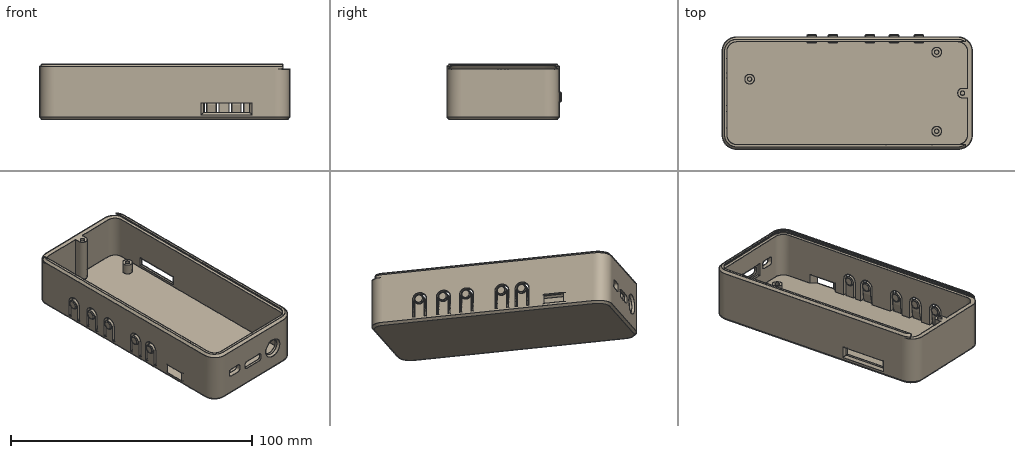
import cadquery as cq
import math

LENGTH = 103.79
WIDTH = 46.63
HEIGHT = 23.0
CORNER_RADIUS = 6.0
WALL = 2.0
FLOOR = 2.0
EDGE_CHAMFER = 1.0

LID_THICKNESS = 2.0
TRACK_UNDERCUT = 1.4
LIP_END_SETBACK = 2.75

POST_RADIUS = 2.0
PILOT_RADIUS = 0.9
SHORT_POST_HEIGHT = 4.5
SHORT_POST_PLACES = [(37.1, 17.0), (-40.5, 5.8), (37.1, -15.8)]
TALL_POST_INSET = 4.1
PILOT_DEPTH = 4.0

BUTTON_XS = [-14.7, -5.95, 9.4, 19.4, 29.7]
STIFF_BUTTON_XS = BUTTON_XS[:1]
BUTTON_Z = 9.4
BUTTON_RADIUS = 2.0
BUTTON_GAP = 1.0
BUTTON_PROTRUSION = 1.0
BUTTON_EDGE = 0.4
TONGUE_RECESS = 0.2
RELIEF_TOP_Z = 6.0
RELIEF_DEPTH = 0.8
NUB_REACH = 0.6

WINDOW_X = 25.65
WINDOW_LENGTH = 21.1
WINDOW_SILL_Z = 2.0
WINDOW_TOP_Z = 6.9
WINDOW_FLARE = 1.0

SWITCH_Y, SWITCH_Z, SWITCH_SIZE, SWITCH_RADIUS = 11.45, 11.0, (6.0, 3.5), 1.0
PORT_Y, PORT_Z, PORT_SIZE, PORT_RADIUS = 0.6, 10.1, (9.5, 3.5), 1.2
JACK_Y, JACK_Z, JACK_RADIUS, JACK_MOUTH_RADIUS = -11.1, 10.7, 3.4, 4.15
JACK_FLARE_DEPTH = 1.0
PORT_RELIEF_MARGIN = 1.0
PORT_RELIEF_DEPTH = 1.0

WHEEL_X = -28.5
WHEEL_RADIUS = 8.4
WHEEL_INSET = 7.3
WHEEL_HEIGHT = 4.0

TRACK_Z = HEIGHT - LID_THICKNESS
INNER_Y = WIDTH / 2 - WALL
TALL_POST_X = LENGTH / 2 - TALL_POST_INSET


def rounded_block(length, width, height, radius):
    return cq.Workplane("XY").rect(length, width).extrude(height).edges("|Z").fillet(radius)


def make_shell():
    block = rounded_block(LENGTH, WIDTH, HEIGHT, CORNER_RADIUS)
    block = block.faces("<Z or >Z").chamfer(EDGE_CHAMFER)
    cavity = rounded_block(LENGTH - 2 * WALL, WIDTH - 2 * WALL, HEIGHT, CORNER_RADIUS - WALL)
    return block.cut(cavity.translate((0, 0, FLOOR)))


def make_lid_track():
    """Lid void under 45 degree lips, which also removes the rim of the +X end."""
    base_width = WIDTH - 2 * (WALL - TRACK_UNDERCUT)
    base_start = -LENGTH / 2 + WALL - TRACK_UNDERCUT
    track = (
        cq.Workplane("XY", origin=(base_start + LENGTH / 2, 0, TRACK_Z))
        .sketch()
        .rect(LENGTH, base_width)
        .vertices("<X")
        .fillet(CORNER_RADIUS - WALL + TRACK_UNDERCUT)
        .finalize()
        .extrude(TRACK_UNDERCUT, taper=45)
    )
    track = track.union(track.faces(">Z").wires().toPending().extrude(LID_THICKNESS - TRACK_UNDERCUT))
    end_cut = cq.Workplane("XY").box(LIP_END_SETBACK, WIDTH, LID_THICKNESS, centered=(False, True, False))
    return track.union(end_cut.translate((LENGTH / 2 - LIP_END_SETBACK, 0, TRACK_Z)))


def add_posts(body):
    short_top = FLOOR + SHORT_POST_HEIGHT
    floor_plane = cq.Workplane("XY").workplane(offset=FLOOR)
    posts = floor_plane.pushPoints(SHORT_POST_PLACES).circle(POST_RADIUS).extrude(SHORT_POST_HEIGHT)
    tall_height = TRACK_Z - FLOOR
    tall = floor_plane.center(TALL_POST_X, 0).circle(POST_RADIUS).extrude(tall_height)
    web_length = TALL_POST_INSET - WALL / 2
    web = floor_plane.center(TALL_POST_X + web_length / 2, 0)
    web = web.rect(web_length, 2 * POST_RADIUS).extrude(tall_height)
    body = body.union(posts).union(tall).union(web)

    short_pilots = cq.Workplane("XY").workplane(offset=short_top).pushPoints(SHORT_POST_PLACES)
    tall_pilot = cq.Workplane("XY").workplane(offset=TRACK_Z).center(TALL_POST_X, 0)
    for pilot in (short_pilots, tall_pilot):
        body = body.cut(pilot.circle(PILOT_RADIUS).extrude(-PILOT_DEPTH))
    return body


def arched_prism(x, radius, y_start, y_end):
    """Round-topped upright slab standing on the floor between two Y levels."""
    return (
        cq.Workplane("XZ", origin=(x, y_end, 0))
        .moveTo(-radius, FLOOR)
        .lineTo(-radius, BUTTON_Z)
        .threePointArc((0, BUTTON_Z + radius), (radius, BUTTON_Z))
        .lineTo(radius, FLOOR)
        .close()
        .extrude(y_end - y_start)
    )


def make_tongue(x):
    face_y = INNER_Y + TONGUE_RECESS
    tongue = arched_prism(x, BUTTON_RADIUS, face_y, WIDTH / 2)
    if x not in STIFF_BUTTON_XS:
        relief = (
            cq.Workplane("YZ", origin=(x - BUTTON_RADIUS, 0, 0))
            .polyline([(face_y, RELIEF_TOP_Z), (face_y, FLOOR), (face_y + RELIEF_DEPTH, FLOOR)])
            .close()
            .extrude(2 * BUTTON_RADIUS)
        )
        tongue = tongue.cut(relief)
    cap_y = WIDTH / 2 + BUTTON_PROTRUSION
    nub_y = INNER_Y - NUB_REACH
    button = cq.Workplane("XZ", origin=(x, cap_y, BUTTON_Z)).circle(BUTTON_RADIUS).extrude(cap_y - nub_y)
    button = button.faces("<Y or >Y").chamfer(BUTTON_EDGE)
    return tongue.union(button)


def add_buttons(body):
    for x in BUTTON_XS:
        slot = arched_prism(x, BUTTON_RADIUS + BUTTON_GAP, INNER_Y, WIDTH / 2)
        body = body.cut(slot).union(make_tongue(x))
    return body


def make_window():
    """Window with a constant opening inside and a flare outside, its top edge kept straight."""
    height = WINDOW_TOP_Z - WINDOW_SILL_Z
    inner_length = WINDOW_LENGTH - 2 * WINDOW_FLARE
    inner_height = height - WINDOW_FLARE
    outside = cq.Workplane("XZ", origin=(WINDOW_X, -WIDTH / 2, WINDOW_TOP_Z))
    opening = outside.center(0, -inner_height / 2).rect(inner_length, inner_height).extrude(-WALL)
    flare = (
        outside.center(0, -height / 2)
        .rect(WINDOW_LENGTH, height)
        .workplane(offset=-WINDOW_FLARE)
        .center(0, WINDOW_FLARE / 2)
        .rect(inner_length, inner_height)
        .loft()
    )
    return opening.union(flare)


def end_opening(y, z, size, radius):
    opening = cq.Workplane("YZ", origin=(-LENGTH / 2, y, z)).rect(*size).extrude(WALL)
    return opening.edges("|X").fillet(radius)


def make_port_relief():
    size = [side + 2 * PORT_RELIEF_MARGIN for side in PORT_SIZE]
    inner_face = cq.Workplane("YZ", origin=(-LENGTH / 2 + WALL, PORT_Y, PORT_Z))
    return inner_face.rect(*size).extrude(-PORT_RELIEF_DEPTH)


def make_jack_hole():
    outside = cq.Workplane("YZ", origin=(-LENGTH / 2, JACK_Y, JACK_Z))
    bore = outside.circle(JACK_RADIUS).extrude(WALL)
    flare = outside.circle(JACK_MOUTH_RADIUS).workplane(offset=JACK_FLARE_DEPTH).circle(JACK_RADIUS).loft()
    return bore.union(flare)


def make_wheel_opening():
    axis = cq.Workplane("XY", origin=(WHEEL_X, WIDTH / 2 - WHEEL_INSET, FLOOR))
    return axis.circle(WHEEL_RADIUS).extrude(WHEEL_HEIGHT)


result = make_shell().cut(make_lid_track())
result = add_posts(result)
result = add_buttons(result)
result = result.cut(make_window())
result = result.cut(end_opening(SWITCH_Y, SWITCH_Z, SWITCH_SIZE, SWITCH_RADIUS))
result = result.cut(end_opening(PORT_Y, PORT_Z, PORT_SIZE, PORT_RADIUS))
result = result.cut(make_port_relief())
result = result.cut(make_jack_hole())
result = result.cut(make_wheel_opening())